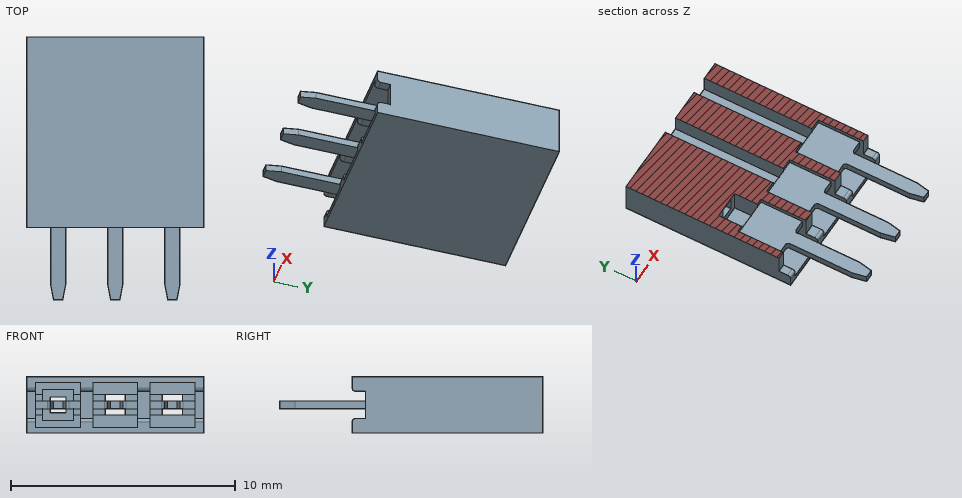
import cadquery as cq

positions = 3
pitch = 2.54
housing_width = 7.87
housing_length = 8.48
housing_height = 2.5

notch_depth = 0.6
notch_height = 1.2
lip_radius = 0.15

cavity_size = 2.0
cavity_depth = 2.34
slot_height = 0.9
slot_depth = 2.92

window_width = 0.89
recess_size = 1.38
recess_depth = 4.1
entry_size = 0.69

contact_thickness = 0.35
shoulder_depth = 0.8
pin_width = 0.68
pin_overhang = 3.22
tip_width = 0.41
tip_length = 0.68
root_radius = 0.14

housing_front = -housing_length / 2
pin_end = housing_front - pin_overhang
position_centers = [(i - (positions - 1) / 2) * pitch for i in range(positions)]


def pocket(center_x, width, height, start_depth, end_depth):
    """Box centred on a position, spanning two depths behind the front face."""
    return (
        cq.Workplane("XY")
        .box(width, end_depth - start_depth, height, centered=(True, False, True))
        .translate((center_x, housing_front + start_depth, 0))
    )


def make_housing():
    """Block with a full-width notch whose outer lips are rounded."""
    block = cq.Workplane("XY").box(housing_width, housing_length, housing_height)
    notch = pocket(0, housing_width, notch_height, 0, notch_depth)
    half_notch = notch_height / 2
    lip = cq.selectors.BoxSelector(
        (-housing_width, housing_front - lip_radius / 2, -half_notch - lip_radius / 2),
        (housing_width, housing_front + lip_radius / 2, half_notch + lip_radius / 2),
    )
    return block.cut(notch).edges("|X").edges(lip).fillet(lip_radius)


def make_opening(center_x, is_first):
    """Everything removed at one position, from the pin side to the back."""
    opening = pocket(center_x, cavity_size, cavity_size, 0, cavity_depth)
    opening = opening.union(pocket(center_x, cavity_size, slot_height, cavity_depth, slot_depth))
    if is_first:
        opening = opening.union(pocket(center_x, recess_size, recess_size, cavity_depth, recess_depth))
        return opening.union(pocket(center_x, entry_size, entry_size, recess_depth, housing_length))
    return opening.union(pocket(center_x, window_width, slot_height, slot_depth, housing_length))


def make_contact(center_x):
    """Flat contact: a shoulder spanning the slot and a pin with a tapered tip."""
    shoulder_y = housing_front + shoulder_depth
    contact_back = housing_front + slot_depth
    half_shoulder = cavity_size / 2
    half_pin = pin_width / 2
    half_tip = tip_width / 2
    taper_start = pin_end + tip_length
    contact = (
        cq.Workplane("XY")
        .moveTo(-half_shoulder, shoulder_y)
        .lineTo(-half_pin - root_radius, shoulder_y)
        .radiusArc((-half_pin, shoulder_y - root_radius), root_radius)
        .lineTo(-half_pin, taper_start)
        .lineTo(-half_tip, pin_end)
        .lineTo(half_tip, pin_end)
        .lineTo(half_pin, taper_start)
        .lineTo(half_pin, shoulder_y - root_radius)
        .radiusArc((half_pin + root_radius, shoulder_y), root_radius)
        .lineTo(half_shoulder, shoulder_y)
        .lineTo(half_shoulder, contact_back)
        .lineTo(-half_shoulder, contact_back)
        .close()
        .extrude(contact_thickness / 2, both=True)
    )
    return contact.translate((center_x, 0, 0))


result = make_housing()
for index, center in enumerate(position_centers):
    result = result.cut(make_opening(center, index == 0))
for center in position_centers:
    result = result.union(make_contact(center))